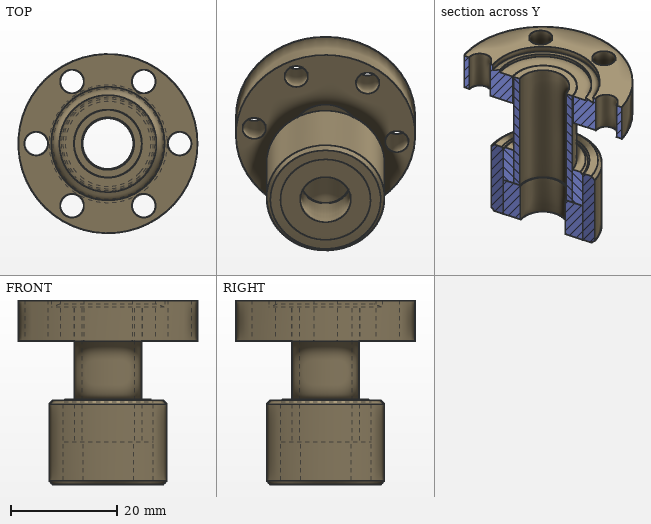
import cadquery as cq

total_height = 34.62

flange_diameter = 33.8
flange_thickness = 7.6
flange_bottom = total_height - flange_thickness
flange_bore_diameter = 12.85
bolt_count = 6
bolt_hole_diameter = 4.4
bolt_circle_diameter = 27.0
recess_diameter = 21.4
recess_depth = 1.18
knife_edge_diameter = 18.28
knife_edge_depth = 0.6

tube_diameter = 12.7
tube_bore_diameter = 9.9

housing_diameter = 22.23
housing_height = 15.9
housing_chamfer = 0.73
groove_outer_diameter = 17.6

ring_top_diameter = 16.05
ring_top = 16.03
ring_height = 7.95
ring_bottom = ring_top - ring_height

groove_width = (groove_outer_diameter - ring_top_diameter) / 2
ring_bevel = (groove_width + ring_top - housing_height) / 2
groove_root_height = ring_top - ring_bevel
ring_diameter = ring_top_diameter + 2 * ring_bevel

sleeve_bore_diameter = 9.52


def disc(diameter, bottom, top):
    """Solid cylinder on the Z axis between two heights."""
    return cq.Workplane("XY").workplane(offset=bottom).circle(diameter / 2).extrude(top - bottom)


def annulus(outer_diameter, inner_diameter, bottom, top):
    """Hollow cylinder on the Z axis between two heights."""
    return disc(outer_diameter, bottom, top).cut(disc(inner_diameter, bottom, top))


def revolve_profile(points):
    """Full turn about the Z axis of a closed (radius, height) outline."""
    return cq.Workplane("XZ").polyline(points).close().revolve(360, (0, 0, 0), (0, 1, 0))


def make_flange():
    """Flange with a bolt circle and a conical sealing knife edge in its top recess."""
    profile = [
        (flange_bore_diameter / 2, flange_bottom),
        (flange_diameter / 2, flange_bottom),
        (flange_diameter / 2, total_height),
        (recess_diameter / 2, total_height),
        (recess_diameter / 2, total_height - recess_depth),
        (knife_edge_diameter / 2, total_height - knife_edge_depth),
        (knife_edge_diameter / 2, total_height - recess_depth),
        (flange_bore_diameter / 2, total_height - recess_depth),
    ]
    body = revolve_profile(profile)
    bolt_holes = (
        cq.Workplane("XY")
        .workplane(offset=flange_bottom)
        .polarArray(bolt_circle_diameter / 2, 0, 360, bolt_count)
        .circle(bolt_hole_diameter / 2)
        .extrude(flange_thickness)
    )
    return body.cut(bolt_holes)


def make_tube():
    """Tube from the recess floor of the flange down to the end sleeve."""
    return annulus(tube_diameter, tube_bore_diameter, ring_bottom, total_height - recess_depth)


def make_housing():
    """Chamfered housing; its bore opens at the top with the outer groove flank."""
    profile = [
        (ring_diameter / 2, 0),
        (housing_diameter / 2 - housing_chamfer, 0),
        (housing_diameter / 2, housing_chamfer),
        (housing_diameter / 2, housing_height - housing_chamfer),
        (housing_diameter / 2 - housing_chamfer, housing_height),
        (groove_outer_diameter / 2, housing_height),
        (ring_diameter / 2, groove_root_height),
    ]
    return revolve_profile(profile)


def make_ring():
    """Ring filling the housing bore around the tube, bevelled at the top."""
    body = disc(ring_diameter, ring_bottom, ring_top).faces(">Z").edges().chamfer(ring_bevel)
    return body.cut(disc(tube_diameter, ring_bottom, ring_top))


def make_end_sleeve():
    """Sleeve in the lower housing bore, narrower inside than the tube it carries."""
    return annulus(ring_diameter, sleeve_bore_diameter, 0, ring_bottom)


flange = make_flange()
tube = make_tube()
housing = make_housing()
ring = make_ring()
end_sleeve = make_end_sleeve()

result = cq.Compound.makeCompound(
    [flange.val(), tube.val(), housing.val(), ring.val(), end_sleeve.val()]
)